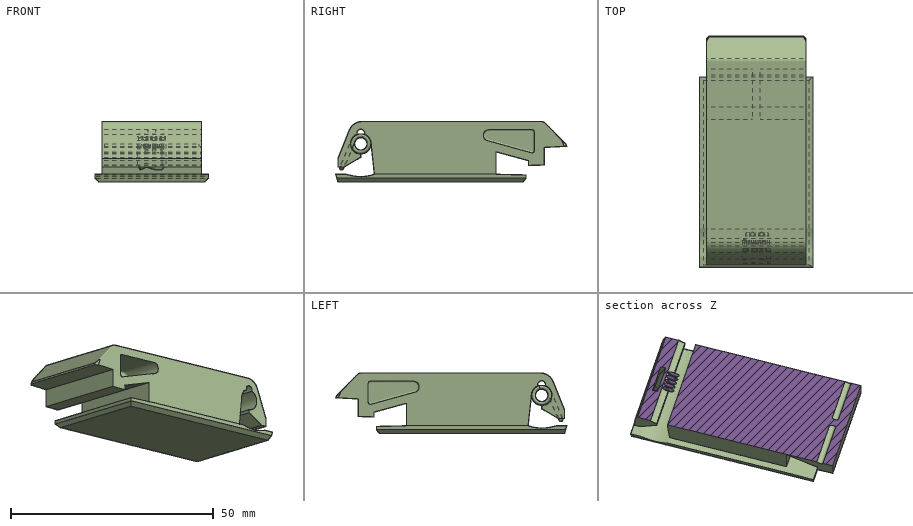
import cadquery as cq
import math


base_width = 28.0
base_top = 2.0
base_front_bottom_y = 0.55
base_rear_y = 46.95
base_rear_top = 1.8
base_rear_bottom_y = 46.1
base_chamfer = 1.0
dish_low = (6.7, 1.4)
dish_ramp_start = (4.3, 1.6)
dish_ramp_end_y = 2.5

body_width = 24.6
body_top = 15.0
body_front_wall_y = 9.5
body_rear_wall_y = 39.55
body_edge_round = 0.15

lip_front_y = 0.55
lip_bottom = 3.7
lip_front_top = 5.85
lip_tip_bottom = 6.15
lip_heel_y = 2.1
front_corner_y = 4.2
front_round = 3.4

nose_y = 57.0
nose_top = (56.8, 9.4)
nose_bottom = 8.85
nose_chamfer = 0.6
rear_corner_y = 51.25
rear_round = 1.3
hook_rear = (51.45, 8.55)
hook_bottom_rear = 4.2
hook_front_y = 47.5
hook_bottom_front = 4.1
hook_step = 5.3
notch_top = 7.45

pocket_rear_y = 48.95
pocket_top = 12.95
pocket_bottom = 7.05
pocket_tip_y = 27.7
pocket_rear_round = 0.55
pocket_tip_round = 1.35
pocket_depth = 11.4
pocket_floor_round = 0.4

spring_y = 6.2
spring_z = 9.45
coil_diameter = 4.0
wire_diameter = 0.95
coil_pitch = 1.15
coil_full_turns = 5
coil_start_angle = 75.0
foot_y = 1.5
foot_z = 3.5
foot_flat_start_x = 2.15
foot_flat_end_x = 1.15
foot_crest_x = -1.35
foot_crest_rise = 0.75
foot_end_x = -2.95

socket_diameter = 5.0
relief_diameter = 1.9
relief_z = 12.1
leg_clearance = 0.05

coil_radius = coil_diameter / 2
wire_radius = wire_diameter / 2

foot_distance = math.hypot(spring_y - foot_y, spring_z - foot_z)
foot_direction = math.atan2(foot_z - spring_z, foot_y - spring_y)
leg_angle = foot_direction - math.acos(coil_radius / foot_distance)
leg_start_y = spring_y + coil_radius * math.cos(leg_angle)
leg_start_z = spring_z + coil_radius * math.sin(leg_angle)
leg_slope = (leg_start_y - foot_y) / (leg_start_z - foot_z)

coil_end_turn = (math.degrees(leg_angle) - coil_start_angle) % 360 / 360
coil_length = coil_pitch * (coil_full_turns + coil_end_turn)
coil_end_x = coil_length / 2


def extrude_across(profile, width):
    """Extrude a profile drawn in the YZ plane equally to both sides of the middle plane."""
    return profile.extrude(width / 2, both=True)


def make_base_plate():
    profile = (
        cq.Workplane("YZ")
        .moveTo(base_front_bottom_y, 0)
        .lineTo(base_rear_bottom_y, 0)
        .lineTo(base_rear_y, base_top - base_chamfer)
        .lineTo(base_rear_y, base_rear_top)
        .lineTo(body_rear_wall_y, base_top)
        .lineTo(body_front_wall_y, base_top)
        .threePointArc(dish_low, dish_ramp_start)
        .lineTo(dish_ramp_end_y, base_top)
        .lineTo(0, base_top)
        .close()
    )
    plate = extrude_across(profile, base_width)
    return plate.faces("<Z").edges("|Y").chamfer(base_chamfer)


def make_body():
    profile = (
        cq.Workplane("YZ")
        .moveTo(body_front_wall_y, base_top)
        .lineTo(body_rear_wall_y, base_top)
        .lineTo(body_rear_wall_y, notch_top)
        .lineTo(hook_front_y, hook_step)
        .lineTo(hook_front_y, hook_bottom_front)
        .lineTo(hook_rear[0], hook_bottom_rear)
        .lineTo(*hook_rear)
        .lineTo(nose_y, nose_bottom)
        .lineTo(*nose_top)
        .lineTo(rear_corner_y, body_top)
        .lineTo(front_corner_y, body_top)
        .lineTo(lip_front_y, lip_front_top)
        .lineTo(lip_front_y, lip_bottom)
        .lineTo(lip_heel_y, lip_bottom)
        .lineTo(spring_y, lip_tip_bottom)
        .lineTo(spring_y, spring_z)
        .lineTo(spring_y + socket_diameter / 2, spring_z)
        .close()
    )
    body = extrude_across(profile, body_width)
    nose_middle_z = (nose_bottom + nose_top[1]) / 2
    nose_face = cq.selectors.NearestToPointSelector((0, nose_y, nose_middle_z))
    body = body.faces(nose_face).edges("not |X").chamfer(nose_chamfer)
    body = round_across(body, front_corner_y, front_round)
    body = round_across(body, rear_corner_y, rear_round)
    return round_top_edges(body)


def round_across(body, corner_y, radius):
    """Round the edge across the top of the body at the given Y."""
    corner = cq.selectors.NearestToPointSelector((0, corner_y, body_top))
    return body.edges(corner).fillet(radius)


def round_top_edges(body):
    """Round both sides of the top, from the rear slope over the top to the foot of the front slope."""
    return body.faces(">Z").edges("|Y").fillet(body_edge_round)


def make_socket():
    """Round socket through the body with a relief groove above it."""
    socket = cq.Workplane("YZ").center(spring_y, spring_z).circle(socket_diameter / 2)
    relief = cq.Workplane("YZ").center(spring_y, relief_z).circle(relief_diameter / 2)
    return extrude_across(socket, body_width).union(extrude_across(relief, body_width))


def make_leg_recess():
    """Slot through the lip that houses the spring's leg and foot."""
    half_gap = (wire_radius + leg_clearance) * math.hypot(1, leg_slope)
    half_width = coil_end_x + wire_radius + leg_clearance
    bottom_y = foot_y + (base_top - foot_z) * leg_slope
    profile = cq.Workplane("YZ").polyline([
        (bottom_y - half_gap, base_top),
        (bottom_y + half_gap, base_top),
        (leg_start_y + half_gap, leg_start_z),
        (leg_start_y - half_gap, leg_start_z),
    ]).close()
    return extrude_across(profile, 2 * half_width)


def make_side_pocket(side):
    """Triangular pocket with a rounded floor edge; side is -1 for the -X face and 1 for the +X face."""
    outline = (
        cq.Sketch()
        .polygon([
            (pocket_rear_y, pocket_bottom),
            (pocket_rear_y, pocket_top),
            (pocket_tip_y, pocket_top),
            (pocket_rear_y, pocket_bottom),
        ])
        .vertices(">X")
        .fillet(pocket_rear_round)
        .reset()
        .vertices("<X")
        .fillet(pocket_tip_round)
    )
    pocket = (
        cq.Workplane("YZ", origin=(-body_width / 2, 0, 0))
        .placeSketch(outline)
        .extrude(pocket_depth)
        .faces(">X")
        .edges()
        .fillet(pocket_floor_round)
    )
    return pocket if side < 0 else pocket.mirror("YZ")


def make_clip():
    clip = make_base_plate().union(make_body())
    clip = clip.cut(make_socket()).cut(make_leg_recess())
    for side in (-1, 1):
        clip = clip.cut(make_side_pocket(side))
    return clip


def make_coil():
    """Right-handed coil along X, starting near the top at -X and ending where the leg begins."""
    path = cq.Wire.makeHelix(coil_pitch, coil_length, coil_radius)
    section = cq.Workplane("XZ", origin=(coil_radius, 0, 0)).circle(wire_radius)
    coil = section.sweep(cq.Workplane(path), isFrenet=True)
    coil = coil.rotate((0, 0, 0), (1, 1, 1), 360 / 3)
    coil = coil.rotate((0, 0, 0), (1, 0, 0), coil_start_angle)
    return coil.translate((-coil_end_x, spring_y, spring_z))


def leg_point(x, z):
    """Point in the sloping plane that holds the leg and foot."""
    return cq.Vector(x, foot_y + (z - foot_z) * leg_slope, z)


def make_leg():
    """Straight leg and kinked foot: wire runs joined by ball-shaped bends."""
    crest_z = foot_z + foot_crest_rise
    points = [
        leg_point(coil_end_x, leg_start_z),
        leg_point(coil_end_x, foot_z + coil_end_x - foot_flat_start_x),
        leg_point(foot_flat_start_x, foot_z),
        leg_point(foot_flat_end_x, foot_z),
        leg_point(foot_crest_x, crest_z),
        leg_point(foot_end_x, foot_z),
    ]
    leg = cq.Workplane("XY")
    for start, end in zip(points, points[1:]):
        run = end - start
        leg = leg.union(cq.Workplane(cq.Solid.makeCylinder(wire_radius, run.Length, start, run)))
    for bend in points[:-1]:
        leg = leg.union(cq.Workplane("XY").sphere(wire_radius).translate(bend))
    return leg


def make_spring():
    return make_coil().union(make_leg())


clip = make_clip()
spring = make_spring()

result = cq.Compound.makeCompound([clip.solids().val(), spring.solids().val()])